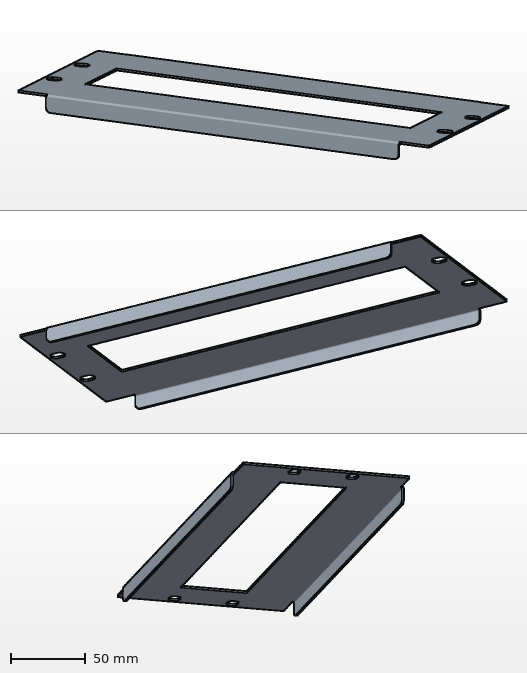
import cadquery as cq

panel_length = 308.5
overall_width = 120.0
overall_height = 12.0

thickness = 1.5
bend_radius = 2.5
inner_bend_radius = bend_radius - thickness
panel_width = overall_width - 2 * bend_radius

flange_length = 265.0
flange_corner_radius = 3.7

window_length = 244.3
window_width = 45.7
slot_length = 10.5
slot_width = 7.7
slot_spacing_x = 293.7
slot_spacing_y = 40.0


def make_panel():
    """Flat panel, with its top face at Z = 0, ending where the bends begin."""
    return cq.Workplane("XY").box(
        panel_length, panel_width, thickness, centered=(True, True, False)
    ).translate((0, 0, -thickness))


def make_channel():
    """Folded sheet: a U section open downward, with rounded lower flange corners."""
    outer = (
        cq.Workplane("XY")
        .box(flange_length, overall_width, overall_height)
        .edges("|X and >Z")
        .fillet(bend_radius)
        .edges("|Y and <Z")
        .fillet(flange_corner_radius)
    )
    inner = (
        cq.Workplane("XY")
        .box(flange_length, overall_width - 2 * thickness, overall_height)
        .edges("|X and >Z")
        .fillet(inner_bend_radius)
        .translate((0, 0, -thickness))
    )
    return outer.cut(inner).translate((0, 0, -overall_height / 2))


def cut_openings(body):
    """Cut the central window and the four mounting slots through the panel."""
    body = body.cut(
        cq.Workplane("XY").rect(window_length, window_width).extrude(-thickness)
    )
    slots = (
        cq.Workplane("XY")
        .rect(slot_spacing_x, slot_spacing_y, forConstruction=True)
        .vertices()
        .slot2D(slot_length, slot_width)
        .extrude(-thickness)
    )
    return body.cut(slots)


result = cut_openings(make_panel().union(make_channel()))